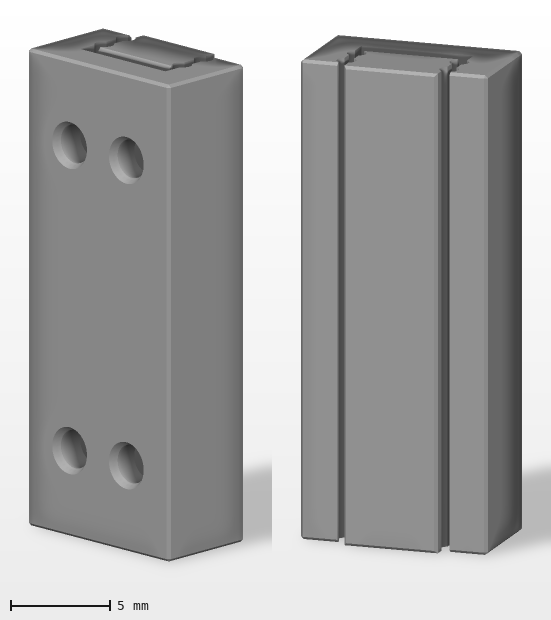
import cadquery as cq

length = 25.0
housing_width = 10.0
housing_depth = 5.5
overall_depth = 6.0

slot_width = 6.0
slot_floor = 1.8
slide_width = 5.0
slide_front = 2.6
groove_diameter = 1.0
groove_heights = (3.28, 4.82)
groove_offset = (slot_width + slide_width) / 4

edge_chamfer = 0.15

hole_diameter = 2.0
countersink_diameter = 2.45
countersink_depth = 0.4
hole_offset_x = 2.0
hole_offset_z = 8.0
blind_depth = 1.6


def block(width, y_start, y_end):
    """Full-length block centred on X and Z between two Y positions."""
    depth = y_end - y_start
    return cq.Workplane("XY").box(width, depth, length).translate((0, (y_start + y_end) / 2, 0))


def ball_grooves():
    """Round ball tracks along Z, each shared by the housing and the slide."""
    centres = [(side * groove_offset, height) for side in (-1, 1) for height in groove_heights]
    return (
        cq.Workplane("XY", origin=(0, 0, -length / 2))
        .pushPoints(centres)
        .circle(groove_diameter / 2)
        .extrude(length)
    )


def mounting_hole(x, z, depth):
    """Countersunk hole cutter that enters the front face along +Y."""
    bore_radius = hole_diameter / 2
    profile = [
        (0, 0),
        (countersink_diameter / 2, 0),
        (bore_radius, countersink_depth),
        (bore_radius, depth),
        (0, depth),
    ]
    cutter = cq.Workplane("XY").polyline(profile).close().revolve(360, (0, 0), (0, 1))
    return cutter.translate((x, 0, z))


def make_housing():
    """U-shaped housing: slotted block with ball tracks and four mounting holes."""
    housing = block(housing_width, 0, housing_depth).edges().chamfer(edge_chamfer)
    housing = housing.cut(block(slot_width, slot_floor, overall_depth))
    housing = housing.cut(ball_grooves())
    for z in (-hole_offset_z, hole_offset_z):
        housing = housing.cut(mounting_hole(-hole_offset_x, z, slot_floor))
        housing = housing.cut(mounting_hole(hole_offset_x, z, blind_depth))
    return housing


def make_slide():
    """Slide that runs in the slot, with ball tracks on both sides."""
    slide = block(slide_width, slide_front, overall_depth)
    slide = slide.faces(">Y").edges().chamfer(edge_chamfer)
    slide = slide.faces("<Y").edges("|X").chamfer(edge_chamfer)
    return slide.cut(ball_grooves())


housing = make_housing()
slide = make_slide()
result = cq.Compound.makeCompound([housing.val(), slide.val()])